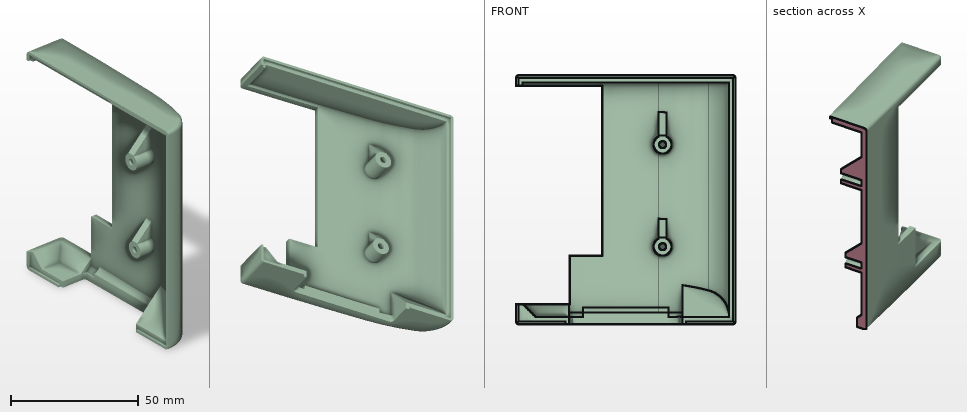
import cadquery as cq
import math


WIDTH = 86.3
DEPTH = 18.1
HEIGHT = 98.0

SIDE_WALL = 2.5
END_WALL = 2.8
EDGE_ROUND = 1.5

CROWN_RADIUS = 1470.0
CROWN_END_X = 56.2
SHOULDER_RADIUS = 95.1
SHOULDER_END_X = 76.3

LIP_WIDTH = 1.1
LIP_HEIGHT = 1.1

OPENING_BOTTOM = 8.0
OPENING_TOP = 93.8
STEP_Z = 27.0
LOWER_OPENING_X = 21.1
UPPER_OPENING_X = 33.9

NOTCH_LEFT = 20.9
NOTCH_RIGHT = 65.6
NOTCH_DEPTH = 12.3
NOTCH_ROUND = 1.4
LIP_SETBACK = 1.4

LEDGE_TOP = 4.6
CATCH_LEFT = 26.5
CATCH_RIGHT = 60.0
CATCH_TOP = 6.7

CORNER_FILL = 5.4

BOSS_X = 57.6
BOSS_RADIUS = 3.5
BOSS_HOLE_RADIUS = 1.4
BOSS_RIB_WIDTH = 3.2
UPPER_BOSS_Z = 70.7
UPPER_BOSS_FRONT = 5.2
LOWER_BOSS_Z = 30.6
LOWER_BOSS_FRONT = 7.1

crown_angle = math.asin(CROWN_END_X / CROWN_RADIUS)
crown_center = (0.0, DEPTH - CROWN_RADIUS)


def along(point, distance, angle):
    """Point at a distance from another one, in a direction measured from +Y towards +X."""
    return (point[0] + distance * math.sin(angle), point[1] + distance * math.cos(angle))


shoulder_center = along(crown_center, CROWN_RADIUS - SHOULDER_RADIUS, crown_angle)
shoulder_angle = math.asin((SHOULDER_END_X - shoulder_center[0]) / SHOULDER_RADIUS)
corner_radius = (WIDTH - SHOULDER_END_X) / (1 - math.sin(shoulder_angle))
corner_center = along(shoulder_center, SHOULDER_RADIUS - corner_radius, shoulder_angle)


def add_arc(sketch, center, radius, start, end):
    return sketch.threePointArc(along(center, radius, (start + end) / 2), along(center, radius, end))


def tray_body(inset, z_bottom, z_top):
    """Solid under the back profile, moved inwards by inset on the left, back and right."""
    crown_radius = CROWN_RADIUS - inset
    start_angle = math.asin(inset / crown_radius)
    sketch = cq.Workplane("XY").workplane(offset=z_bottom).moveTo(inset, 0)
    sketch = sketch.lineTo(*along(crown_center, crown_radius, start_angle))
    sketch = add_arc(sketch, crown_center, crown_radius, start_angle, crown_angle)
    sketch = add_arc(sketch, shoulder_center, SHOULDER_RADIUS - inset, crown_angle, shoulder_angle)
    sketch = add_arc(sketch, corner_center, corner_radius - inset, shoulder_angle, math.pi / 2)
    return sketch.lineTo(WIDTH - inset, 0).close().extrude(z_top - z_bottom)


def box(x0, x1, y0, y1, z0, z1):
    return cq.Workplane("XY").box(x1 - x0, y1 - y0, z1 - z0, centered=False).translate((x0, y0, z0))


def prism_along_x(points, x0, x1):
    """Extrude a (y, z) outline from x0 to x1."""
    return cq.Workplane("YZ").workplane(offset=x0).polyline(points).close().extrude(x1 - x0)


def outer_body():
    """Full block with every edge rounded except those of the open front."""
    return tray_body(0, 0, HEIGHT).edges("(<X and >Y) or ((<Z or >Z) and (not <Y))").fillet(EDGE_ROUND)


def left_corner_fill():
    """45 degree fills along the left wall and along the back wall, above the bottom wall."""
    wall_fill = (
        cq.Workplane("XZ")
        .polyline([
            (SIDE_WALL, END_WALL),
            (SIDE_WALL + CORNER_FILL, END_WALL),
            (SIDE_WALL, END_WALL + CORNER_FILL),
        ])
        .close()
        .extrude(-DEPTH)
    )
    foot_y = DEPTH - SIDE_WALL - CORNER_FILL
    back_fill = prism_along_x(
        [(foot_y, END_WALL), (DEPTH, END_WALL), (DEPTH, END_WALL + DEPTH - foot_y)], SIDE_WALL, NOTCH_LEFT
    )
    return wall_fill.union(back_fill)


def right_corner_fill():
    """45 degree fill from the front of the bottom wall up to the back wall."""
    rise = DEPTH - LIP_HEIGHT
    return prism_along_x(
        [(LIP_HEIGHT, END_WALL), (DEPTH, END_WALL), (DEPTH, END_WALL + rise)], NOTCH_RIGHT, WIDTH
    )


def back_point(center, radius, inset, x):
    """Point at x on the back profile moved inwards by inset, on the arc of the given outer radius."""
    inset_radius = radius - inset
    return along(center, inset_radius, math.asin((x - center[0]) / inset_radius))


def ledge_section(sketch, x0, x1, inset):
    """Outline from a curve parallel to the back, inset from it, to a straight edge inside the back wall."""
    hidden_y = DEPTH - SIDE_WALL
    split = along(crown_center, CROWN_RADIUS - inset, crown_angle)
    return (
        sketch.moveTo(*back_point(crown_center, CROWN_RADIUS, inset, x0))
        .threePointArc(back_point(crown_center, CROWN_RADIUS, inset, (x0 + split[0]) / 2), split)
        .threePointArc(
            back_point(shoulder_center, SHOULDER_RADIUS, inset, (split[0] + x1) / 2),
            back_point(shoulder_center, SHOULDER_RADIUS, inset, x1),
        )
        .lineTo(x1, hidden_y)
        .lineTo(x0, hidden_y)
        .close()
    )


def ledge(x0, x1, z_edge, z_top):
    """Block behind the notch with a 45 degree slope that follows the curved back wall."""
    rise = z_top - z_edge
    block = box(x0, x1, NOTCH_DEPTH, DEPTH - SIDE_WALL, 0, z_edge)
    slope = cq.Workplane("XY").workplane(offset=z_edge)
    slope = ledge_section(slope, x0, x1, SIDE_WALL + rise).workplane(offset=rise)
    return block.union(ledge_section(slope, x0, x1, SIDE_WALL).loft(ruled=True))


def boss(z, front):
    """Screw boss on the back wall with a 45 degree rib above it."""
    post = (
        cq.Workplane("XZ", origin=(BOSS_X, front, z))
        .circle(BOSS_RADIUS)
        .extrude(front - DEPTH)
    )
    rib_base = z + BOSS_RADIUS
    rib = prism_along_x(
        [(front, z), (front, rib_base), (DEPTH, rib_base + DEPTH - front), (DEPTH, z)],
        BOSS_X - BOSS_RIB_WIDTH / 2,
        BOSS_X + BOSS_RIB_WIDTH / 2,
    )
    return post.union(rib)


def boss_hole(z, front):
    """Blind hole ending at the inner face of the back wall."""
    bottom = back_point(shoulder_center, SHOULDER_RADIUS, SIDE_WALL, BOSS_X)[1]
    return (
        cq.Workplane("XZ", origin=(BOSS_X, front, z))
        .circle(BOSS_HOLE_RADIUS)
        .extrude(front - bottom)
    )


def side_opening():
    lower = box(0, LOWER_OPENING_X, 0, DEPTH, OPENING_BOTTOM, STEP_Z)
    upper = box(0, UPPER_OPENING_X, 0, DEPTH, STEP_Z, OPENING_TOP)
    return lower.union(upper)


def bottom_notch():
    return (
        box(NOTCH_LEFT, NOTCH_RIGHT, 0, NOTCH_DEPTH, 0, CATCH_TOP)
        .edges("|Z and >Y")
        .fillet(NOTCH_ROUND)
    )


def lip_rebate():
    """Lowers the rim inside the lip, and all of it next to the notch."""
    inside = box(LIP_WIDTH, WIDTH - LIP_WIDTH, 0, LIP_HEIGHT, LIP_WIDTH, HEIGHT - LIP_WIDTH)
    beside_notch = box(
        NOTCH_LEFT - LIP_SETBACK, NOTCH_RIGHT + LIP_SETBACK, 0, LIP_HEIGHT, 0, END_WALL
    )
    return inside.union(beside_notch)


BOSSES = [(UPPER_BOSS_Z, UPPER_BOSS_FRONT), (LOWER_BOSS_Z, LOWER_BOSS_FRONT)]

outer = outer_body()
shell = outer.cut(tray_body(SIDE_WALL, END_WALL, HEIGHT - END_WALL))

inner_parts = left_corner_fill().union(right_corner_fill())
inner_parts = inner_parts.union(ledge(NOTCH_LEFT, NOTCH_RIGHT, END_WALL, LEDGE_TOP))
inner_parts = inner_parts.union(ledge(CATCH_LEFT, CATCH_RIGHT, LEDGE_TOP, CATCH_TOP))
for boss_z, boss_front in BOSSES:
    inner_parts = inner_parts.union(boss(boss_z, boss_front))

result = shell.union(inner_parts.intersect(outer))
for boss_z, boss_front in BOSSES:
    result = result.cut(boss_hole(boss_z, boss_front))
result = result.cut(side_opening()).cut(bottom_notch()).cut(lip_rebate())